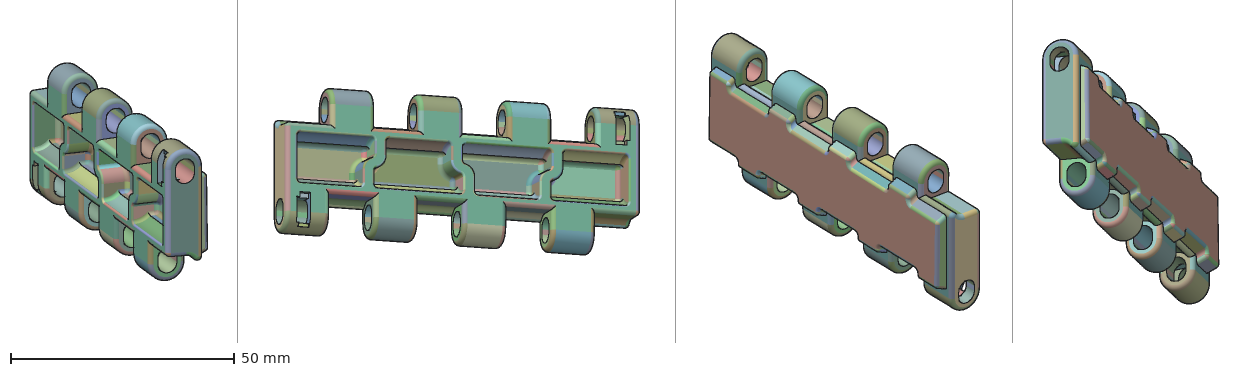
import cadquery as cq
import math

TOLERANCE = 0.001

LENGTH = 84.7
KNUCKLE_RADIUS = 4.3
PIN_AXIS_Z = 12.5
KNUCKLE_COUNT = 4
KNUCKLE_WIDTH = 10.4
PITCH = LENGTH / KNUCKLE_COUNT
FRONT_Y = -KNUCKLE_RADIUS
BACK_Y = KNUCKLE_RADIUS
EDGE_RADIUS = 1.0

BAR_FRONT_Z = 7.9
BAR_FLAT_Z = 8.05
SADDLE_START_Y = 0.4
RIDGE_Z = 9.5
RIDGE_RADIUS = 1.0

HOLE_RADIUS = 2.3
HOLE_INNER_Z = 11.35

SLOT_LEFT_X = 36.5
SLOT_WIDTH = 2.5
SLOT_BOTTOM_Z = 8.0
SLOT_TOP_Z = 15.7
SLOT_DEPTH = 1.5
RAMP_WIDTH = 0.8

POCKET_DEPTH = 6.35
POCKET_RIM_Z = 5.8
POCKET_FLOOR_Z = 4.2
WALL_ARC_START_DEPTH = 0.5
WALL_ARC_END_DEPTH = 4.15
POCKET_FLOOR_RADIUS = 1.0
POCKET_CORNER_RADIUS = 0.85
RIM_RADIUS = 0.4
OUTER_POCKET_END_X = -39.7
OUTER_POCKET_STEP_X = -21.0
INNER_POCKET_STEP_X = -21.3
INNER_POCKET_END_X = 0.1
STEP_RADIUS = 2.9
STEP_MIDDLE = STEP_RADIUS * math.sqrt(0.5)
STEP_CENTER_Z = 1.7

PAD_END_X = 40.6
PAD_BAR_Z = 8.7
PAD_LUG_Z = 10.8
PAD_LUG_INSET = 1.4
PAD_DRAFT = 25.0
PAD_BLOCK_HEIGHT = 2.9
PAD_MIDDLE_HEIGHT = 2.4
PAD_X_TILT = 0.54
PAD_Z_TILT = 0.8
PAD_EDGE_RADIUS = 0.85


def half_turn(shape):
    """Turn a shape half way round the Y axis."""
    return shape.rotate((0, 0, 0), (0, 1, 0), 180)


def with_half_turn(shape):
    return shape.union(half_turn(shape))


def upper_knuckle_starts():
    """Lower X limit of each knuckle of the upper row."""
    return [LENGTH / 2 - KNUCKLE_WIDTH - i * PITCH for i in range(KNUCKLE_COUNT)]


def along_x(start_x):
    """Sketch plane at start_x: local x is Y, local y is Z, and it extrudes toward +X."""
    return cq.Workplane("YZ", origin=(start_x, 0, 0))


def front_outline():
    """Sketch plane on the front face: local x is X, local y is Z, negative extrusion goes inward."""
    return cq.Workplane("XZ", origin=(0, FRONT_Y, 0))


def make_bar():
    """Bar whose upper and lower sides each rise in a hollow saddle to a rounded ridge at the back."""
    ridge_center_y = BACK_Y - RIDGE_RADIUS
    ridge_center_z = RIDGE_Z - RIDGE_RADIUS
    run = ridge_center_y - SADDLE_START_Y
    angle = 2 * math.atan((RIDGE_Z - BAR_FLAT_Z) / run)
    saddle_radius = run / math.sin(angle) - RIDGE_RADIUS
    meeting_point = (
        ridge_center_y - RIDGE_RADIUS * math.sin(angle),
        ridge_center_z + RIDGE_RADIUS * math.cos(angle),
    )
    half = (
        along_x(-LENGTH / 2)
        .moveTo(FRONT_Y, 0)
        .lineTo(FRONT_Y, BAR_FRONT_Z)
        .lineTo(SADDLE_START_Y, BAR_FLAT_Z)
        .radiusArc(meeting_point, -saddle_radius)
        .radiusArc((BACK_Y, ridge_center_z), RIDGE_RADIUS)
        .lineTo(BACK_Y, 0)
        .close()
        .extrude(LENGTH)
    )
    return with_half_turn(half)


def make_knuckle(start_x):
    return (
        along_x(start_x)
        .moveTo(FRONT_Y, 0)
        .lineTo(FRONT_Y, PIN_AXIS_Z)
        .threePointArc((0, PIN_AXIS_Z + KNUCKLE_RADIUS), (BACK_Y, PIN_AXIS_Z))
        .lineTo(BACK_Y, 0)
        .close()
        .extrude(KNUCKLE_WIDTH)
    )


def is_outer_edge(edge):
    """True for the sharp outer edges of the link, not for its seams and inside corners."""
    box = edge.BoundingBox()
    center = edge.Center()
    if box.xlen > TOLERANCE:
        return center.y < FRONT_Y + TOLERANCE and abs(center.z) < PIN_AXIS_Z - TOLERANCE
    at_end = abs(center.x) > LENGTH / 2 - TOLERANCE
    return at_end or max(box.zmax, -box.zmin) > PIN_AXIS_Z - TOLERANCE


def make_pin_hole():
    slot_length = PIN_AXIS_Z - HOLE_INNER_Z + 2 * HOLE_RADIUS
    return (
        along_x(-LENGTH / 2)
        .center(0, (PIN_AXIS_Z + HOLE_INNER_Z) / 2)
        .slot2D(slot_length, 2 * HOLE_RADIUS, 90)
        .extrude(LENGTH)
    )


def make_retainer_slot():
    """Shallow recess over the pin hole, with a shaft to the hole that has a ramped outer side."""
    inner_x = SLOT_LEFT_X + SLOT_WIDTH
    recess = (
        front_outline()
        .moveTo(SLOT_LEFT_X, SLOT_BOTTOM_Z)
        .lineTo(inner_x, SLOT_BOTTOM_Z)
        .lineTo(inner_x, SLOT_TOP_Z)
        .lineTo(SLOT_LEFT_X, SLOT_TOP_Z)
        .close()
        .extrude(-SLOT_DEPTH)
    )
    hole_bottom_z = HOLE_INNER_Z - HOLE_RADIUS
    hole_top_z = PIN_AXIS_Z + HOLE_RADIUS
    shaft = (
        cq.Workplane("XY", origin=(0, 0, hole_bottom_z))
        .moveTo(SLOT_LEFT_X, FRONT_Y)
        .lineTo(inner_x + RAMP_WIDTH, FRONT_Y)
        .lineTo(inner_x, 0)
        .lineTo(SLOT_LEFT_X, 0)
        .close()
        .extrude(hole_top_z - hole_bottom_z)
    )
    return recess.union(shaft)


def make_pocket_envelope():
    """Block along X whose upper and lower walls curve inward before the floor."""
    arc_start_y = FRONT_Y + WALL_ARC_START_DEPTH
    arc_end_y = FRONT_Y + WALL_ARC_END_DEPTH
    run = arc_end_y - arc_start_y
    drop = POCKET_RIM_Z - POCKET_FLOOR_Z
    wall_radius = (run**2 + drop**2) / (2 * drop)
    half = (
        along_x(-LENGTH / 2)
        .moveTo(FRONT_Y, 0)
        .lineTo(FRONT_Y, POCKET_RIM_Z)
        .lineTo(arc_start_y, POCKET_RIM_Z)
        .radiusArc((arc_end_y, POCKET_FLOOR_Z), wall_radius)
        .lineTo(FRONT_Y + POCKET_DEPTH, POCKET_FLOOR_Z)
        .lineTo(FRONT_Y + POCKET_DEPTH, 0)
        .close()
        .extrude(LENGTH)
    )
    return with_half_turn(half)


def outer_pocket_outline():
    step_center_x = OUTER_POCKET_STEP_X
    return (
        front_outline()
        .moveTo(OUTER_POCKET_END_X, -POCKET_RIM_Z)
        .lineTo(OUTER_POCKET_END_X, POCKET_RIM_Z)
        .lineTo(step_center_x, POCKET_RIM_Z)
        .lineTo(step_center_x, STEP_RADIUS - STEP_CENTER_Z)
        .threePointArc(
            (step_center_x - STEP_MIDDLE, STEP_MIDDLE - STEP_CENTER_Z),
            (step_center_x - STEP_RADIUS, -STEP_CENTER_Z),
        )
        .lineTo(step_center_x - STEP_RADIUS, -POCKET_RIM_Z)
        .close()
    )


def inner_pocket_outline():
    left = INNER_POCKET_STEP_X
    right = INNER_POCKET_END_X
    return (
        front_outline()
        .moveTo(left, -POCKET_RIM_Z)
        .lineTo(left, STEP_CENTER_Z - STEP_RADIUS)
        .threePointArc(
            (left + STEP_MIDDLE, STEP_CENTER_Z - STEP_MIDDLE),
            (left + STEP_RADIUS, STEP_CENTER_Z),
        )
        .lineTo(left + STEP_RADIUS, POCKET_RIM_Z)
        .lineTo(right - STEP_RADIUS, POCKET_RIM_Z)
        .lineTo(right - STEP_RADIUS, STEP_CENTER_Z)
        .threePointArc(
            (right - STEP_MIDDLE, STEP_CENTER_Z - STEP_MIDDLE),
            (right, STEP_CENTER_Z - STEP_RADIUS),
        )
        .lineTo(right, -POCKET_RIM_Z)
        .close()
    )


def is_pocket_corner(edge):
    """True for the inward edges of a pocket, except where its stepped side walls run smoothly."""
    box = edge.BoundingBox()
    smooth = abs(abs(edge.Center().z) - STEP_CENTER_Z) < TOLERANCE
    return box.xlen < TOLERANCE and box.ylen > TOLERANCE and not smooth


def make_pocket(outline):
    pocket = outline.extrude(-POCKET_DEPTH).intersect(make_pocket_envelope())
    corners = pocket.edges().filter(is_pocket_corner).vals()
    pocket = pocket.newObject(corners).fillet(POCKET_CORNER_RADIUS)
    return pocket.faces(">Y").edges().fillet(POCKET_FLOOR_RADIUS)


def is_pocket_rim(edge):
    box = edge.BoundingBox()
    in_front_plane = abs(box.ymin - FRONT_Y) < TOLERANCE and box.ylen < TOLERANCE
    inside = max(box.zmax, -box.zmin) < POCKET_RIM_Z + TOLERANCE
    return in_front_plane and inside and abs(edge.Center().x) < -OUTER_POCKET_END_X + TOLERANCE


def make_link():
    link = make_bar()
    for start_x in upper_knuckle_starts():
        link = link.union(with_half_turn(make_knuckle(start_x)))
    link = link.newObject(link.edges().filter(is_outer_edge).vals()).fillet(EDGE_RADIUS)
    for outline in (outer_pocket_outline(), inner_pocket_outline()):
        pocket = make_pocket(outline)
        link = link.cut(pocket).cut(half_turn(pocket))
    link = link.newObject(link.edges().filter(is_pocket_rim).vals()).fillet(RIM_RADIUS)
    for cutter in (make_pin_hole(), make_retainer_slot()):
        link = link.cut(cutter).cut(half_turn(cutter))
    return link


def make_pad_block(start_x, end_x, base_z):
    """Block along X on the back face, with both Z sides leaning inward."""
    lean = PAD_BLOCK_HEIGHT * math.tan(math.radians(PAD_DRAFT))
    return (
        along_x(start_x)
        .moveTo(BACK_Y, -base_z)
        .lineTo(BACK_Y, base_z)
        .lineTo(BACK_Y + PAD_BLOCK_HEIGHT, base_z - lean)
        .lineTo(BACK_Y + PAD_BLOCK_HEIGHT, lean - base_z)
        .close()
        .extrude(end_x - start_x)
    )


def make_pad_lug(start_x):
    """Upper half of a block behind one upper knuckle."""
    first_x = max(start_x + PAD_LUG_INSET, -PAD_END_X)
    last_x = min(start_x + KNUCKLE_WIDTH - PAD_LUG_INSET, PAD_END_X)
    upper_half = cq.Workplane("XY").box(LENGTH, LENGTH, LENGTH, centered=(True, True, False))
    return make_pad_block(first_x, last_x, PAD_LUG_Z).intersect(upper_half)


def make_space_behind_pad():
    """Block whose front side is the tilted outer face of the pad."""
    return (
        cq.Workplane("XY")
        .box(2 * LENGTH, LENGTH, 2 * LENGTH, centered=(True, False, True))
        .rotate((0, 0, 0), (0, 0, 1), -PAD_X_TILT)
        .rotate((0, 0, 0), (1, 0, 0), PAD_Z_TILT)
        .translate((0, BACK_Y + PAD_MIDDLE_HEIGHT, 0))
    )


def is_pad_edge(edge):
    """True for every edge of the pad that does not lie on the back face of the link."""
    return edge.BoundingBox().ymax > BACK_Y + PAD_EDGE_RADIUS


def make_pad():
    pad = make_pad_block(-PAD_END_X, PAD_END_X, PAD_BAR_Z)
    for start_x in upper_knuckle_starts():
        pad = pad.union(with_half_turn(make_pad_lug(start_x)))
    pad = pad.cut(make_space_behind_pad())
    return pad.newObject(pad.edges().filter(is_pad_edge).vals()).fillet(PAD_EDGE_RADIUS)


link = make_link()
pad = make_pad()
result = cq.Compound.makeCompound([link.val(), pad.val()])